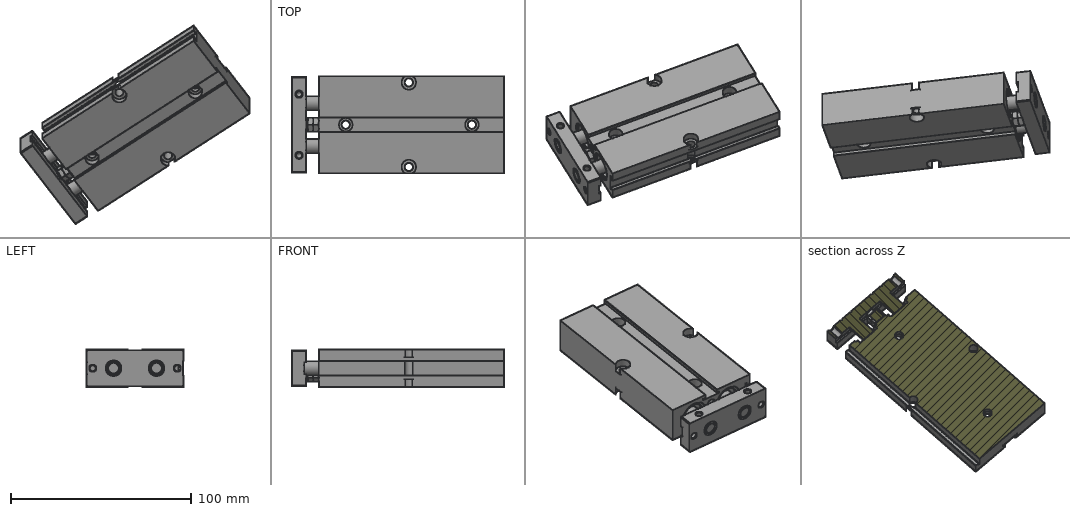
import cadquery as cq
import math


total_length = 118.0
housing_width = 54.0
housing_height = 21.0
housing_front = 15.0
housing_length = total_length - housing_front
half_width = housing_width / 2
half_height = housing_height / 2

slot_width = 7.8
slot_mouth_chamfer = 0.18
top_slot_depth = 3.0
top_slot_lip = 2.1
top_slot_inner_width = 11.1
side_slot_depth = 3.0
side_slot_lip = 2.1
side_slot_inner_width = 10.6

mounting_hole_diameter = 4.5
mounting_hole_pitch = 35.0
first_hole_inset = 15.0
first_hole_x = housing_front + first_hole_inset
edge_hole_x = first_hole_x + mounting_hole_pitch
last_hole_x = edge_hole_x + mounting_hole_pitch
edge_hole_y = 23.5
edge_counterbore_diameter = 8.0
edge_counterbore_depth = 4.5
middle_counterbore_diameter = 7.5
middle_counterbore_depth = 5.4

rod_y = 11.9
bush_diameter = 16.0
bush_recess_depth = 1.0
seal_diameter = 13.0
seal_recess_depth = 3.0
stop_offset_z = 3.0
front_hole_diameter = 4.1
front_hole_mouth = 5.0

blind_hole_depth = 7.1
drill_tip_angle = 118.0

plate_thickness = 8.0
plate_width = 53.3
plate_height = 20.1
plate_chamfer = 0.5
groove_depth = 1.2
groove_height = 6.5
top_hole_y = 17.0
threaded_hole_diameter = 3.2
threaded_hole_mouth = 4.1

rod_diameter = 8.0
rod_end = housing_front + seal_recess_depth
rod_neck_diameter = 7.3
rod_tip_diameter = 5.9
rod_socket_mouth = 8.7

stud_diameter = 5.0
nut_across_flats = 8.0
nut_gap = 1.0
nut_count = 2
nut_sides = 6
nut_chamfer_angle = 30.0


def x_cylinder(diameter, x_start, x_end, y=0.0, z=0.0):
    """A cylinder along X between two stations."""
    plane = cq.Workplane("YZ", origin=(x_start, y, z))
    return plane.circle(diameter / 2).extrude(x_end - x_start)


def z_cylinder(diameter, z_start, z_end, x, y):
    """A cylinder along Z between two heights."""
    plane = cq.Workplane("XY", origin=(x, y, z_start))
    return plane.circle(diameter / 2).extrude(z_end - z_start)


def x_cone(start_diameter, end_diameter, x_start, x_end, y=0.0, z=0.0):
    """A truncated cone along X between two stations."""
    plane = cq.Workplane("YZ", origin=(x_start, y, z)).circle(start_diameter / 2)
    return plane.workplane(offset=x_end - x_start).circle(end_diameter / 2).loft()


def blind_hole(diameter, mouth_diameter):
    """Cutter for a blind drilled hole with a 45-degree mouth, open at the origin and running along +X."""
    hole_radius = diameter / 2
    mouth_radius = mouth_diameter / 2
    mouth_depth = mouth_radius - hole_radius
    tip_length = hole_radius / math.tan(math.radians(drill_tip_angle / 2))
    half_section = [
        (0, 0),
        (0, mouth_radius),
        (mouth_depth, hole_radius),
        (blind_hole_depth, hole_radius),
        (blind_hole_depth + tip_length, 0),
    ]
    return cq.Workplane("XY").polyline(half_section).close().revolve(360, (0, 0, 0), (1, 0, 0))


def t_slot(surface, depth, lip, inner_width):
    """Cutter for a T-slot along the housing, open upward at a height of `surface`."""
    outer = slot_width / 2
    inner = inner_width / 2
    floor = surface - depth
    lip_bottom = surface - lip
    section = [
        (-outer - slot_mouth_chamfer, surface),
        (-outer, surface - slot_mouth_chamfer),
        (-outer, lip_bottom),
        (-inner, lip_bottom),
        (-inner, floor),
        (inner, floor),
        (inner, lip_bottom),
        (outer, lip_bottom),
        (outer, surface - slot_mouth_chamfer),
        (outer + slot_mouth_chamfer, surface),
    ]
    plane = cq.Workplane("YZ", origin=(housing_front, 0, 0))
    return plane.polyline(section).close().extrude(housing_length)


def mounting_hole(x, y, surface, counterbore_diameter, counterbore_depth):
    """Cutter for a through hole counterbored from both of its ends, at heights of +/- `surface`."""
    web = surface - counterbore_depth
    cutter = z_cylinder(mounting_hole_diameter, -surface, surface, x, y)
    cutter = cutter.union(z_cylinder(counterbore_diameter, web, surface, x, y))
    return cutter.union(z_cylinder(counterbore_diameter, -surface, -web, x, y))


def make_housing():
    body = cq.Workplane("XY").box(
        housing_length, housing_width, housing_height, centered=(False, True, True)
    ).translate((housing_front, 0, 0))

    top_slot = t_slot(half_height, top_slot_depth, top_slot_lip, top_slot_inner_width)
    side_slot = t_slot(half_width, side_slot_depth, side_slot_lip, side_slot_inner_width)
    x_axis = ((0, 0, 0), (1, 0, 0))
    body = body.cut(top_slot).cut(top_slot.rotate(*x_axis, 180)).cut(side_slot.rotate(*x_axis, 90))

    for y in (-edge_hole_y, edge_hole_y):
        body = body.cut(mounting_hole(
            edge_hole_x, y, half_height, edge_counterbore_diameter, edge_counterbore_depth
        ))
    slot_floor = half_height - top_slot_depth
    for x in (first_hole_x, last_hole_x):
        body = body.cut(mounting_hole(
            x, 0, slot_floor, middle_counterbore_diameter, middle_counterbore_depth
        ))

    for y in (-rod_y, rod_y):
        body = body.cut(x_cylinder(bush_diameter, housing_front, housing_front + bush_recess_depth, y))
        body = body.cut(x_cylinder(seal_diameter, housing_front, housing_front + seal_recess_depth, y))

    front_hole = blind_hole(front_hole_diameter, front_hole_mouth)
    return body.cut(front_hole.translate((housing_front, 0, stop_offset_z)))


def make_plate():
    plate = cq.Workplane("XY").box(
        plate_thickness, plate_width, plate_height, centered=(False, True, True)
    ).edges("|X").chamfer(plate_chamfer)

    groove = cq.Workplane("XY").box(
        groove_depth, plate_width, groove_height, centered=(False, True, True)
    )
    plate = plate.cut(groove.translate((plate_thickness - groove_depth, 0, 0)))

    plate_hole = blind_hole(threaded_hole_diameter, threaded_hole_mouth)
    downward_hole = plate_hole.rotate((0, 0, 0), (0, 1, 0), 90)
    mouth_depth = (threaded_hole_mouth - threaded_hole_diameter) / 2
    for side in (-1, 1):
        top_position = (plate_thickness / 2, side * top_hole_y, plate_height / 2)
        plate = plate.cut(downward_hole.translate(top_position))
        y = side * edge_hole_y
        plate = plate.cut(x_cylinder(threaded_hole_diameter, 0, plate_thickness, y))
        plate = plate.cut(x_cone(threaded_hole_mouth, threaded_hole_diameter, 0, mouth_depth, y))

    socket_mouth_depth = (rod_socket_mouth - rod_neck_diameter) / 2
    for y in (-rod_y, rod_y):
        plate = plate.cut(x_cone(rod_socket_mouth, rod_neck_diameter, 0, socket_mouth_depth, y))
        plate = plate.cut(x_cylinder(rod_neck_diameter, 0, plate_thickness, y))
    return plate


def make_rod(y):
    """A guide rod whose chamfered neck is flush with the front of the end plate."""
    tip_length = (rod_neck_diameter - rod_tip_diameter) / 2
    shoulder = plate_thickness - groove_depth
    rod = x_cylinder(rod_diameter, shoulder, rod_end, y)
    rod = rod.union(x_cylinder(rod_neck_diameter, tip_length, shoulder, y))
    return rod.union(x_cone(rod_tip_diameter, rod_neck_diameter, 0, tip_length, y))


def make_nut(x_start, length):
    """A hexagonal nut with corners up and down, chamfered on its rear face."""
    across_corners = nut_across_flats / math.cos(math.pi / nut_sides)
    chamfer_width = (across_corners - nut_across_flats) / 2
    chamfer_length = chamfer_width * math.tan(math.radians(nut_chamfer_angle))
    plane = cq.Workplane("YZ", origin=(x_start, 0, -stop_offset_z))
    hexagon = plane.transformed(rotate=(0, 0, 90)).polygon(nut_sides, across_corners).extrude(length)
    x_end = x_start + length
    envelope = x_cylinder(across_corners, x_start, x_end - chamfer_length, z=-stop_offset_z)
    envelope = envelope.union(
        x_cone(across_corners, nut_across_flats, x_end - chamfer_length, x_end, z=-stop_offset_z)
    )
    return hexagon.intersect(envelope)


def make_carriage():
    """The moving part: end plate, guide rods, and the stop stud with its nuts, as one solid."""
    carriage = make_plate()
    for y in (-rod_y, rod_y):
        carriage = carriage.union(make_rod(y))
    stud_start = plate_thickness - groove_depth
    carriage = carriage.union(x_cylinder(stud_diameter, stud_start, housing_front, z=-stop_offset_z))
    nut_start = plate_thickness + nut_gap
    nut_length = (housing_front - nut_start) / nut_count
    for index in range(nut_count):
        carriage = carriage.union(make_nut(nut_start + index * nut_length, nut_length))
    return carriage


housing = make_housing()
carriage = make_carriage()
result = cq.Compound.makeCompound([housing.val(), carriage.val()])